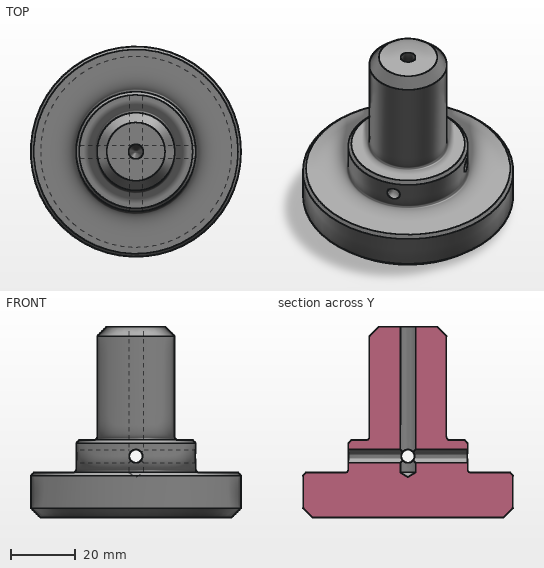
import cadquery as cq
import math

FLANGE_DIAMETER = 65.0
FLANGE_HEIGHT = 14.0
COLLAR_DIAMETER = 37.0
COLLAR_HEIGHT = 10.0
SHAFT_DIAMETER = 24.0
TOTAL_HEIGHT = 59.0
LARGE_CHAMFER = 3.0
SMALL_CHAMFER = 1.0
ROOT_FILLET = 1.0
CROSS_HOLE_DIAMETER = 4.0
AXIAL_HOLE_DIAMETER = 4.55
DRILL_POINT_ANGLE = 118.0

flange_radius = FLANGE_DIAMETER / 2
collar_radius = COLLAR_DIAMETER / 2
shaft_radius = SHAFT_DIAMETER / 2
collar_top = FLANGE_HEIGHT + COLLAR_HEIGHT
cross_hole_height = FLANGE_HEIGHT + COLLAR_HEIGHT / 2


def disc(radius, bottom, top):
    """Round section of the stepped body, centred on the Z axis."""
    return cq.Workplane("XY").workplane(offset=bottom).circle(radius).extrude(top - bottom)


def root_fillet(radius, height):
    """Ring with a concave quarter-round, filling the corner around a cylinder."""
    outer = radius + ROOT_FILLET
    arc_middle = ROOT_FILLET * (1 - math.sqrt(0.5))
    return (
        cq.Workplane("XZ")
        .moveTo(0, height)
        .lineTo(outer, height)
        .threePointArc((radius + arc_middle, height + arc_middle), (radius, height + ROOT_FILLET))
        .lineTo(0, height + ROOT_FILLET)
        .close()
        .revolve(360, (0, 0, 0), (0, 1, 0))
    )


def stepped_body():
    flange = disc(flange_radius, 0, FLANGE_HEIGHT)
    flange = flange.faces("<Z").chamfer(LARGE_CHAMFER).faces(">Z").chamfer(SMALL_CHAMFER)
    collar = disc(collar_radius, FLANGE_HEIGHT, collar_top).faces(">Z").chamfer(SMALL_CHAMFER)
    shaft = disc(shaft_radius, collar_top, TOTAL_HEIGHT).faces(">Z").chamfer(LARGE_CHAMFER)
    body = flange.union(collar).union(shaft)
    body = body.union(root_fillet(collar_radius, FLANGE_HEIGHT))
    return body.union(root_fillet(shaft_radius, collar_top))


def cross_hole(plane):
    """Cutter along the normal of a vertical plane, right through the collar."""
    return (
        cq.Workplane(plane)
        .center(0, cross_hole_height)
        .circle(CROSS_HOLE_DIAMETER / 2)
        .extrude(collar_radius + ROOT_FILLET, both=True)
    )


def axial_hole():
    """Blind drilled hole whose full diameter ends level with the flange top."""
    radius = AXIAL_HOLE_DIAMETER / 2
    tip = FLANGE_HEIGHT - radius / math.tan(math.radians(DRILL_POINT_ANGLE / 2))
    return (
        cq.Workplane("XZ")
        .polyline([(0, tip), (radius, FLANGE_HEIGHT), (radius, TOTAL_HEIGHT), (0, TOTAL_HEIGHT)])
        .close()
        .revolve(360, (0, 0, 0), (0, 1, 0))
    )


result = stepped_body()
for hole_plane in ("XZ", "YZ"):
    result = result.cut(cross_hole(hole_plane))
result = result.cut(axial_hole())